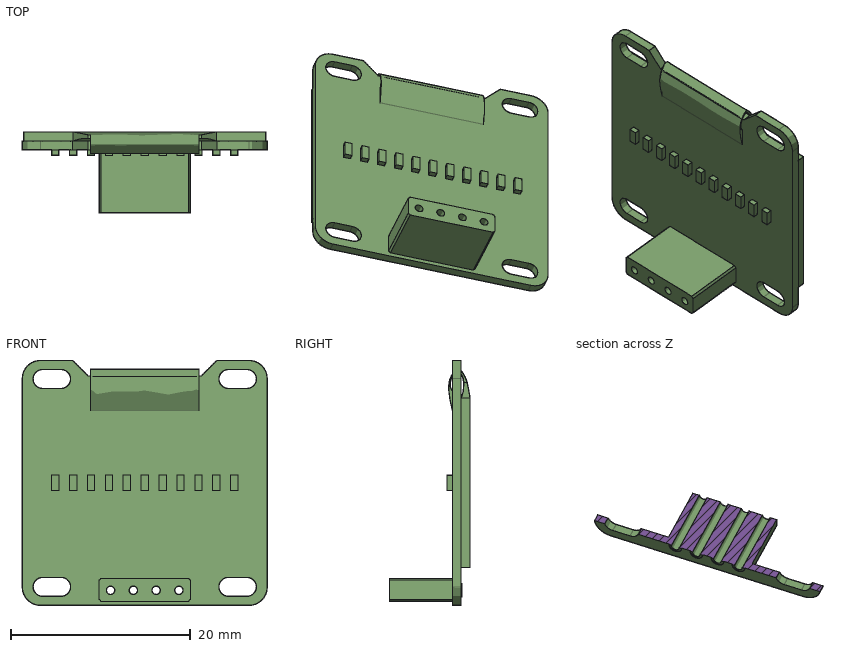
import cadquery as cq


board_size = 27.3
board_thickness = 0.98
corner_radius = 2.05
slot_length = 4.15
slot_width = 2.07
slot_x = 10.35
slot_z = 11.58
notch_depth = 1.72
notch_floor_half = 6.3
notch_mouth_half = notch_floor_half + notch_depth

screen_width = 26.97
screen_height = 18.9
screen_thickness = 1.0
screen_back = board_thickness + screen_thickness
screen_top = screen_height / 2

ribbon_width = 12.12
ribbon_end_z = 8.08
ribbon_contact_z = 10.26
taper_base_half = 7.97
taper_tip_half = notch_floor_half
taper_tip_z = 11.2
ribbon_outer_bend = [(1.67, taper_tip_z), (1.25, 12.12), (0.68, 12.67), (-0.03, 12.07), (-0.4, 10.6)]
ribbon_inner_bend = [
    (-0.25, 10.92),
    (-0.1, 11.6),
    (0.63, 12.4),
    (1.1, 11.95),
    (1.28, taper_tip_z),
    (1.2, 10.15),
]

chip_count = 11
chip_pitch = 2.0
chip_width = 0.82
chip_height = 1.72
chip_depth = 0.6

header_width = 10.15
header_height = 2.57
header_depth = 7.02
header_z = -11.9
header_edge_chamfer = 0.22
pin_count = 4
pin_pitch = 2.55
pin_z = -11.95
pin_hole_diameter = 0.9
solder_ring_diameter = 1.5
solder_ring_height = 0.08


def front_plane(y):
    """Workplane at depth y, local x = X, local y = Z, normal toward -Y."""
    return cq.Workplane("XZ", origin=(0, y, 0))


def row(count, pitch, z):
    """Centres of an evenly spaced row along X, centred on X = 0."""
    return [((i - (count - 1) / 2) * pitch, z) for i in range(count)]


def make_board():
    half = board_size / 2
    plate = (
        front_plane(board_thickness)
        .rect(board_size, board_size)
        .extrude(board_thickness)
        .edges("|Y")
        .fillet(corner_radius)
    )
    slots = (
        front_plane(board_thickness)
        .rect(2 * slot_x, 2 * slot_z, forConstruction=True)
        .vertices()
        .slot2D(slot_length, slot_width)
        .extrude(board_thickness)
    )
    notch = (
        front_plane(board_thickness)
        .polyline([
            (-notch_mouth_half, half),
            (-notch_floor_half, half - notch_depth),
            (notch_floor_half, half - notch_depth),
            (notch_mouth_half, half),
        ])
        .close()
        .extrude(board_thickness)
    )
    return plate.cut(slots).cut(notch)


def make_screen():
    return front_plane(screen_back).rect(screen_width, screen_height).extrude(screen_thickness)


def make_ribbon():
    profile = (
        cq.Workplane("YZ", origin=(-taper_base_half, 0, 0))
        .moveTo(screen_back, screen_top)
        .spline(ribbon_outer_bend + [(0, ribbon_end_z)], includeCurrent=True)
        .lineTo(0, ribbon_contact_z)
        .spline(ribbon_inner_bend + [(board_thickness, screen_top)], includeCurrent=True)
        .close()
    )
    band = profile.extrude(2 * taper_base_half)

    taper = (
        front_plane(screen_back)
        .polyline([
            (-taper_base_half, screen_top),
            (-taper_tip_half, taper_tip_z),
            (taper_tip_half, taper_tip_z),
            (taper_base_half, screen_top),
        ])
        .close()
        .extrude(screen_thickness)
    )
    strip = cq.Workplane("XY").box(ribbon_width, board_size, board_size)
    return band.intersect(taper.union(strip))


def make_chips():
    return (
        front_plane(0)
        .pushPoints(row(chip_count, chip_pitch, 0))
        .rect(chip_width, chip_height)
        .extrude(chip_depth)
    )


def make_header():
    return (
        front_plane(0)
        .center(0, header_z)
        .rect(header_width, header_height)
        .extrude(header_depth)
        .edges("|Y")
        .chamfer(header_edge_chamfer)
    )


def pin_cylinders(diameter, back, length):
    """One cylinder per pin, running from depth `back` toward -Y."""
    return (
        front_plane(back)
        .pushPoints(row(pin_count, pin_pitch, pin_z))
        .circle(diameter / 2)
        .extrude(length)
    )


ring_back = board_thickness + solder_ring_height
solder_rings = pin_cylinders(solder_ring_diameter, ring_back, solder_ring_height)
pin_holes = pin_cylinders(pin_hole_diameter, ring_back, ring_back + header_depth)

result = (
    make_board()
    .union(make_screen())
    .union(make_ribbon())
    .union(make_chips())
    .union(make_header())
    .union(solder_rings)
    .cut(pin_holes)
)